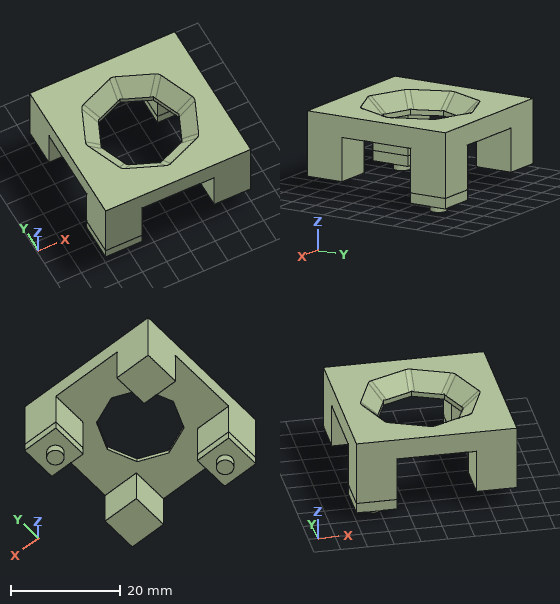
import cadquery as cq
import math

plate_size = 30.0
plate_thickness = 4.0

leg_width = 7.6
leg_height = 8.4
foot_height = 2.0

pin_diameter = 3.2
pin_length = 1.7
pin_edge_distance = 4.0

window_sides = 8
window_corner_diameter = 16.0
funnel_depth = 3.0
funnel_corner_radius = 2.0

foot_bottom = pin_length
leg_bottom = foot_bottom + foot_height
plate_bottom = leg_bottom + leg_height
plate_top = plate_bottom + plate_thickness
funnel_bottom = plate_top - funnel_depth

leg_offset = (plate_size - leg_width) / 2
pin_offset = plate_size / 2 - pin_edge_distance

funnel_corner_growth = 2 * funnel_depth / math.cos(math.pi / window_sides)
funnel_corner_diameter = window_corner_diameter + funnel_corner_growth


def corner_block(side_x, side_y, bottom, height):
    """Square block flush with the plate corner on the given sides (+1 or -1)."""
    return (
        cq.Workplane("XY", origin=(side_x * leg_offset, side_y * leg_offset, bottom))
        .rect(leg_width, leg_width)
        .extrude(height)
    )


def make_window():
    """Straight octagonal opening that widens into a funnel with rounded corners."""
    opening = (
        cq.Workplane("XY", origin=(0, 0, plate_bottom))
        .polygon(window_sides, window_corner_diameter)
        .extrude(plate_thickness)
    )
    funnel = (
        cq.Workplane("XY", origin=(0, 0, funnel_bottom))
        .polygon(window_sides, window_corner_diameter)
        .workplane(offset=funnel_depth)
        .polygon(window_sides, funnel_corner_diameter)
        .loft(ruled=True)
        .edges("not(<Z or >Z)")
        .fillet(funnel_corner_radius)
    )
    return opening.union(funnel)


def make_frame():
    """Plate with four corner legs and the central window."""
    frame = (
        cq.Workplane("XY", origin=(0, 0, plate_bottom))
        .rect(plate_size, plate_size)
        .extrude(plate_thickness)
    )
    for side_x in (-1, 1):
        for side_y in (-1, 1):
            frame = frame.union(corner_block(side_x, side_y, leg_bottom, leg_height))
    return frame.cut(make_window())


def make_foot(side):
    """Foot with its pin, below the leg on the X = Y diagonal."""
    pin = (
        cq.Workplane("XY", origin=(side * pin_offset, side * pin_offset, 0))
        .circle(pin_diameter / 2)
        .extrude(pin_length)
    )
    return corner_block(side, side, foot_bottom, foot_height).union(pin)


frame = make_frame()
feet = [make_foot(side) for side in (-1, 1)]

result = cq.Compound.makeCompound([frame.val(), *[foot.val() for foot in feet]])